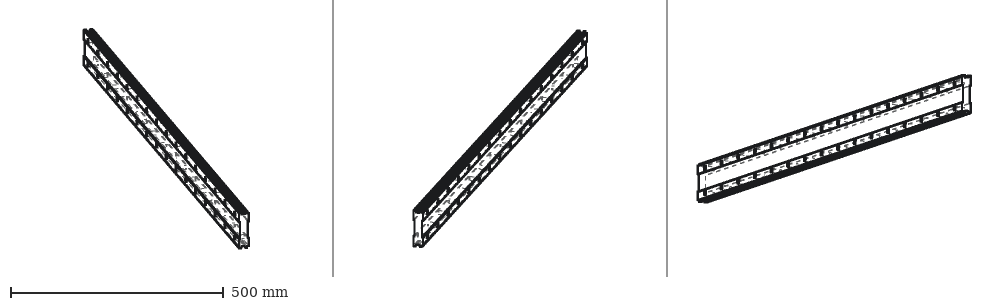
import cadquery as cq

LENGTH = 1270
THICKNESS = 24.0
HEIGHT = 90.0

FLANGE_HEIGHT = 24.0
WEB_RECESS = 3.0
REBATE_SIZE = 4.0
FRONT_CHAMFER = 1.0
GROOVE_FORWARD_SHIFT = 1.0
GROOVE_DEPTH = 5.0
GROOVE_FLOOR_WIDTH = 6.0
GROOVE_MOUTH_WIDTH = 11.0

HOLES_PER_ROW = 16
HOLE_PITCH = 80.0
HOLE_EDGE_DISTANCE = 15.0
HOLE_DIAMETER = 9.5

front_y = -THICKNESS / 2
back_y = THICKNESS / 2
top_z = HEIGHT / 2
web_half_height = top_z - FLANGE_HEIGHT
hole_z = top_z - HOLE_EDGE_DISTANCE


def make_rail():
    """Extrude the upper half of the cross-section along X and mirror it to the lower half."""
    groove_y = -GROOVE_FORWARD_SHIFT
    groove_floor_z = top_z - GROOVE_DEPTH
    groove_floor_half = GROOVE_FLOOR_WIDTH / 2
    groove_mouth_half = GROOVE_MOUTH_WIDTH / 2
    upper_half = (
        cq.Workplane("YZ", origin=(-LENGTH / 2, 0, 0))
        .moveTo(back_y - WEB_RECESS, 0)
        .lineTo(back_y - WEB_RECESS, web_half_height)
        .lineTo(back_y, web_half_height)
        .lineTo(back_y, top_z - REBATE_SIZE)
        .lineTo(back_y - REBATE_SIZE, top_z - REBATE_SIZE)
        .lineTo(back_y - REBATE_SIZE, top_z)
        .lineTo(groove_y + groove_mouth_half, top_z)
        .lineTo(groove_y + groove_floor_half, groove_floor_z)
        .lineTo(groove_y - groove_floor_half, groove_floor_z)
        .lineTo(groove_y - groove_mouth_half, top_z)
        .lineTo(front_y + FRONT_CHAMFER, top_z)
        .lineTo(front_y, top_z - FRONT_CHAMFER)
        .lineTo(front_y, web_half_height)
        .lineTo(front_y + WEB_RECESS, web_half_height)
        .lineTo(front_y + WEB_RECESS, 0)
        .close()
        .extrude(LENGTH)
    )
    return upper_half.union(upper_half.mirror("XY")).clean()


def drill_mounting_holes(rail):
    """Drill both rows of holes straight through the flanges along Y."""
    first_x = -HOLE_PITCH * (HOLES_PER_ROW - 1) / 2
    centres = [(first_x + i * HOLE_PITCH, z) for i in range(HOLES_PER_ROW) for z in (-hole_z, hole_z)]
    front_face = cq.Workplane("XZ", origin=(0, front_y, 0))
    holes = front_face.pushPoints(centres).circle(HOLE_DIAMETER / 2).extrude(-THICKNESS)
    return rail.cut(holes)


result = drill_mounting_holes(make_rail())